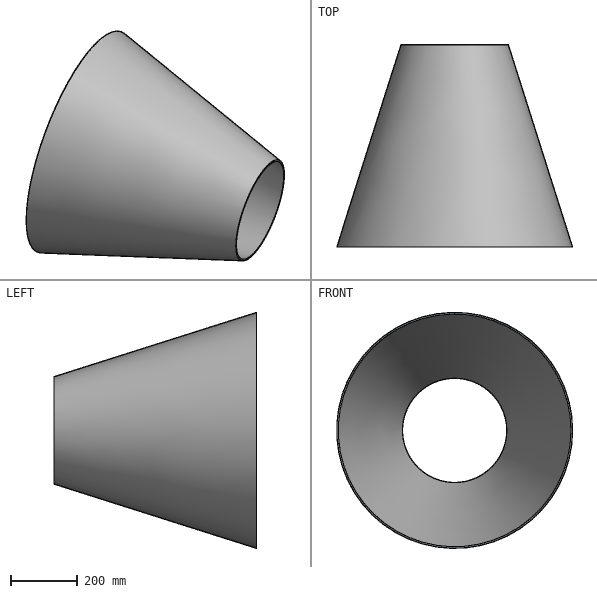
import cadquery as cq
import math

large_diameter = 711.2
small_diameter = 323.9
length = 610.0
wall = 5.0

large_radius = large_diameter / 2
small_radius = small_diameter / 2

half_angle = math.atan2(large_radius - small_radius, length)
radial_wall = wall / math.cos(half_angle)


def conical_shell():
    """Revolve the wall section, large end at Y = 0, about the Y axis."""
    wall_section = [
        (large_radius - radial_wall, 0),
        (large_radius, 0),
        (small_radius, length),
        (small_radius - radial_wall, length),
    ]
    return (
        cq.Workplane("XY")
        .polyline(wall_section)
        .close()
        .revolve(360, (0, 0, 0), (0, 1, 0))
    )


result = conical_shell()